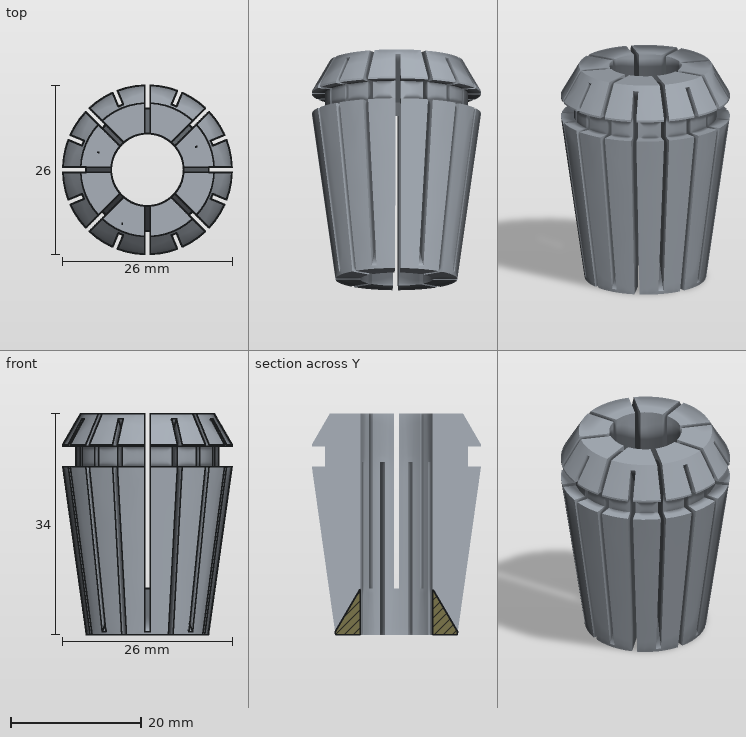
import cadquery as cq
import math

height = 34.0
max_radius = 13.0
bore_radius = 5.55

shoulder_height = 25.85
taper_angle = 8.0
taper_slope = math.tan(math.radians(taper_angle))
bottom_radius = max_radius - taper_slope * shoulder_height

groove_radius = 11.0
groove_width = 3.1
head_bottom = shoulder_height + groove_width
head_rim_width = 0.3
top_radius = 10.25

slits_per_set = 8
slit_width = 0.8
slit_pitch = 360.0 / slits_per_set
lower_end_margin = 0.5
upper_end_margin = 0.8
floor_rise = 6.65
clearance = 1.0


def make_body():
    """Turned collet blank with its through bore."""
    profile = [
        (bore_radius, 0),
        (bottom_radius, 0),
        (max_radius, shoulder_height),
        (groove_radius, shoulder_height),
        (groove_radius, head_bottom),
        (max_radius, head_bottom),
        (max_radius, head_bottom + head_rim_width),
        (top_radius, height),
        (bore_radius, height),
    ]
    return cq.Workplane("XZ").polyline(profile).close().revolve(360, (0, 0), (0, 1))


def slit_cutter(outline, angle):
    """Radial slit from its (radius, height) outline, turned about Z."""
    blade = cq.Workplane("XZ").polyline(outline).close().extrude(slit_width / 2, both=True)
    return blade.rotate((0, 0, 0), (0, 0, 1), angle)


def slit_outline(open_end, rim_radius, rim_height, bore_height):
    """Slit open at one end; its floor slants from the bore out to the rim."""
    outer = max_radius + clearance
    return [
        (0, open_end),
        (outer, open_end),
        (outer, rim_height),
        (rim_radius, rim_height),
        (bore_radius, bore_height),
        (0, bore_height),
    ]


lower_rim_radius = bottom_radius + taper_slope * lower_end_margin
head_slope = (max_radius - top_radius) / (height - head_bottom - head_rim_width)
upper_rim_radius = top_radius + head_slope * upper_end_margin

top_slit = slit_outline(
    height + clearance, lower_rim_radius, lower_end_margin, lower_end_margin + floor_rise
)
upper_rim_height = height - upper_end_margin
bottom_slit = slit_outline(
    -clearance, upper_rim_radius, upper_rim_height, upper_rim_height - floor_rise
)

result = make_body()
for index in range(slits_per_set):
    result = result.cut(slit_cutter(top_slit, index * slit_pitch))
    result = result.cut(slit_cutter(bottom_slit, (index + 0.5) * slit_pitch))